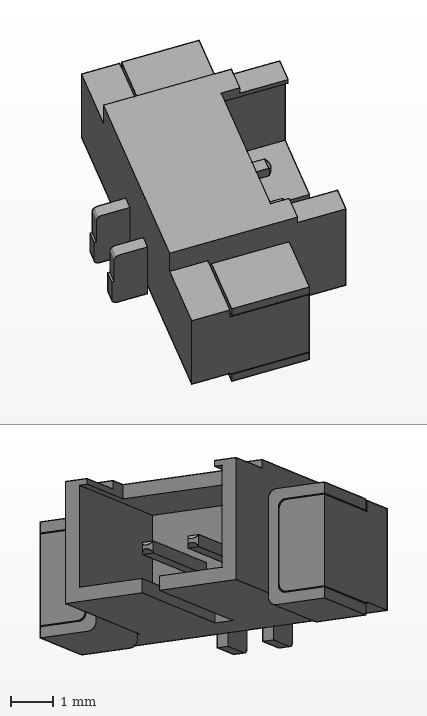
import cadquery as cq

total_length = 7.83
total_height = 3.53
total_depth = 5.35

pin_width = 0.3
pin_pitch = 1.25
pin_top = 1.83
pin_tip_y = 3.6
pin_tip_rounding = 0.09
pin_tip_chamfer = 0.1
tail_reach = 0.9
tail_corner_radius = 0.15
foot_height = 0.85
foot_step = 0.055

body_width = 4.7
body_depth = total_depth - tail_reach
standoff = 0.33
wing_top = 2.82
rim_drop = 0.21
rim_step_y = 3.225
roof_depth = 2.76
lip_width = 0.595
shell_thickness = 0.35
side_wall = 0.38
back_wall = 1.0
floor_slot_width = 0.485

nail_front_y = 1.01
nail_rear_y = 2.97
nail_height = 2.84
nail_thickness = 0.275
nail_outer_radius = 0.22
nail_inner_radius = 0.2
front_gap = 0.05
nail_gap = 0.02
tongue_corner_radius = 0.2

half_length = total_length / 2
half_body = body_width / 2
nail_web_outer = -half_body - nail_gap
nail_web_inner = nail_web_outer - nail_thickness
wing_block_rear = nail_front_y - front_gap
nail_mouth_top = nail_height - nail_thickness


def block(x0, x1, y0, y1, z0, z1):
    """Axis-aligned box between two opposite corners."""
    return cq.Workplane("XY").box(x1 - x0, y1 - y0, z1 - z0, centered=False).translate((x0, y0, z0))


def make_shell():
    """Main box with a lowered rear rim, an open rear cavity, a cut-back roof and a slotted floor."""
    rim_top = total_height - rim_drop
    half_cavity = half_body - side_wall
    half_opening = half_body - lip_width
    floor_top = standoff + shell_thickness
    ceiling = total_height - shell_thickness
    shell = block(-half_body, half_body, 0, body_depth, standoff, total_height)
    rim_cut = block(-half_body, half_body, rim_step_y, body_depth, rim_top, total_height)
    cavity = block(-half_cavity, half_cavity, back_wall, body_depth, floor_top, ceiling)
    roof_opening = block(-half_opening, half_opening, roof_depth, body_depth, floor_top, total_height)
    floor_slot = block(
        -floor_slot_width / 2, floor_slot_width / 2, back_wall, body_depth, standoff, floor_top
    )
    return shell.cut(rim_cut).cut(cavity).cut(roof_opening).cut(floor_slot)


def make_wing():
    """Left wing: a full block at the front and a rounded tongue behind it that holds the nail."""
    front_block = block(-half_length, -half_body, 0, wing_block_rear, standoff, wing_top)
    tongue = block(
        -half_length,
        nail_web_inner - nail_gap,
        0,
        nail_rear_y,
        nail_thickness + nail_gap,
        nail_mouth_top - nail_gap,
    )
    tongue = tongue.edges("|Y and >X").fillet(tongue_corner_radius)
    tongue = tongue.cut(block(-half_length, -half_body, 0, wing_block_rear, 0, standoff))
    return front_block.union(tongue)


def make_pin(x):
    """Contact pin: a straight blade in the cavity and a solder tail in front of the housing."""
    x0 = x - pin_width / 2
    x1 = x + pin_width / 2
    blade = block(x0, x1, 0, pin_tip_y, pin_top - pin_width, pin_top)
    blade = blade.edges("|X and >Y").chamfer(pin_tip_chamfer)
    blade_outline = (
        cq.Workplane("XY")
        .moveTo(x0, 0)
        .lineTo(x0, pin_tip_y - pin_tip_rounding)
        .threePointArc((x, pin_tip_y), (x1, pin_tip_y - pin_tip_rounding))
        .lineTo(x1, 0)
        .close()
        .extrude(pin_top)
    )
    blade = blade.intersect(blade_outline)
    tail = block(x0, x1, foot_step - tail_reach, 0, 0, pin_top)
    tail = tail.edges("|X and <Y and >Z").fillet(tail_corner_radius)
    foot = block(x0, x1, -tail_reach, 0, 0, foot_height)
    foot = foot.edges("|X and <Y and <Z").fillet(tail_corner_radius)
    tail = tail.cut(block(x0, x1, -tail_reach, 0, 0, foot_height))
    return blade.union(tail).union(foot)


def make_housing():
    """Housing with both wings and its moulded-in contact pins."""
    left_wing = make_wing()
    housing = make_shell().union(left_wing).union(left_wing.mirror("YZ"))
    for x in (-pin_pitch / 2, pin_pitch / 2):
        housing = housing.union(make_pin(x))
    return housing


def make_nail():
    """Left fitting nail: a U-shaped strip, open to the outside, with rounded bends."""
    outer = block(-half_length, nail_web_outer, nail_front_y, nail_rear_y, 0, nail_height)
    outer = outer.edges("|Y and >X").fillet(nail_outer_radius)
    inner = block(
        -half_length,
        nail_web_inner,
        nail_front_y,
        nail_rear_y,
        nail_thickness,
        nail_mouth_top,
    )
    inner = inner.edges("|Y and >X").fillet(nail_inner_radius)
    return outer.cut(inner)


housing = make_housing()
left_nail = make_nail()
nails = [left_nail, left_nail.mirror("YZ")]

result = cq.Compound.makeCompound([housing.val(), *[nail.val() for nail in nails]])